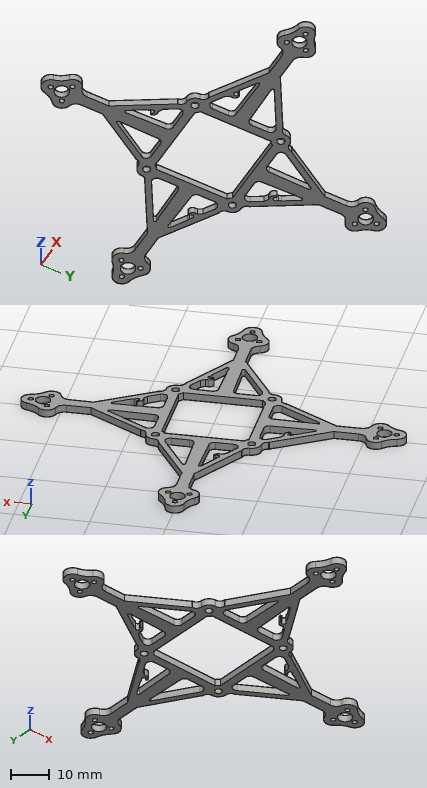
import cadquery as cq
import math

span = 101.6
thickness = 2.0

lobe_radius = 2.5
screw_circle_radius = 3.3
motor_screw_diameter = 1.3
motor_shaft_diameter = 4.0
lobe_blend_radius = 7.1
arm_blend_radius = 2.5
motor_y = span / 2 - lobe_radius - screw_circle_radius

arm_half_width = 1.6
arm_root_y = 32.0
strut_angle = math.radians(31.6)
strut_width = 1.7

frame_hole_offset = 12.7
frame_hole_diameter = 2.0
frame_boss_radius = 2.5
boss_relief_radius = 1.7
window_half_width = 11.5
frame_outer_y = 13.9

spine_root_half_width = 2.0
spine_tip_half_width = 1.7
pocket_base_round = 1.4
pocket_tip_round = 0.4

hook_notch_center = (-5.4, 21.3)
hook_notch_radius = 0.6
hook_bottom_y = 19.8
hook_bend_radius = 1.2
hook_tip_x = -4.4
hook_tip_y = 21.2
hook_tip_width = 0.4
hook_lip_y = 23.0
hook_lip_end_y = 22.1
hook_foot_y = 19.1
hook_foot_length = 1.1


def strut_edge_x(y, inset=0.0):
    """X of the right strut edge at height y, moved inwards by inset."""
    return arm_half_width + (arm_root_y - y) * math.tan(strut_angle) - inset / math.cos(strut_angle)


def point_towards(start, target, distance):
    """Point at a distance from start on the ray to target."""
    length = math.dist(start, target)
    return tuple(s + (t - s) * distance / length for s, t in zip(start, target))


def extrude(outline):
    return outline.close().extrude(thickness)


def cylinder(center, radius):
    return cq.Workplane("XY").center(*center).circle(radius).extrude(thickness)


def both_sides(body):
    """A body joined with its mirror image across the arm axis."""
    return body.union(body.mirror("YZ"))


def around(body, count=4):
    """A body joined with its copies spaced evenly about the plate centre."""
    ring = body
    for i in range(1, count):
        ring = ring.union(body.rotate((0, 0, 0), (0, 0, 1), i * 360 / count))
    return ring


motor_center = (0, motor_y)
screw_angles = [math.radians(degrees) for degrees in (90, -30, 210)]
screw_points = [
    (screw_circle_radius * math.cos(angle), motor_y + screw_circle_radius * math.sin(angle))
    for angle in screw_angles
]
boss_center = (frame_hole_offset, frame_hole_offset)
relief_center = (frame_hole_offset, frame_hole_offset + frame_boss_radius + boss_relief_radius)


def half_motor_mount():
    """Right half of a motor mount, ending in the tangent blend to the arm."""
    top, side = screw_points[:2]
    top_shoulder = point_towards(top, (span, span), lobe_radius)
    side_extreme = (side[0] + lobe_radius, side[1])

    flank_reach = math.sqrt((lobe_radius + lobe_blend_radius) ** 2 - (math.dist(top, side) / 2) ** 2)
    flank_mid = ((top[0] + side[0]) / 2, (top[1] + side[1]) / 2)
    flank_center = point_towards(motor_center, flank_mid, math.dist(motor_center, flank_mid) + flank_reach)

    blend_x = arm_half_width + arm_blend_radius
    blend_drop = math.sqrt((lobe_radius + arm_blend_radius) ** 2 - (blend_x - side[0]) ** 2)
    blend_center = (blend_x, side[1] - blend_drop)

    flank_end = point_towards(side, flank_center, lobe_radius)
    blend_start = point_towards(side, blend_center, lobe_radius)
    blend_end = (arm_half_width, blend_center[1])
    chord_mid = ((blend_start[0] + blend_end[0]) / 2, (blend_start[1] + blend_end[1]) / 2)
    return extrude(
        cq.Workplane("XY")
        .moveTo(0, span / 2)
        .threePointArc(top_shoulder, point_towards(top, flank_center, lobe_radius))
        .threePointArc(point_towards(flank_center, flank_mid, lobe_blend_radius), flank_end)
        .threePointArc(side_extreme, blend_start)
        .threePointArc(point_towards(blend_center, chord_mid, arm_blend_radius), blend_end)
        .lineTo(0, blend_end[1])
    )


def half_arm():
    """Right half of an arm and its strut, down to the scooped frame boss."""
    bay = extrude(
        cq.Workplane("XY").polyline([
            (0, motor_y - lobe_radius),
            (arm_half_width, motor_y - lobe_radius),
            (arm_half_width, arm_root_y),
            (strut_edge_x(frame_hole_offset), frame_hole_offset),
            boss_center,
            (0, 0),
        ])
    )
    web = extrude(
        cq.Workplane("XY").polyline([
            boss_center,
            relief_center,
            (relief_center[0] - boss_relief_radius, relief_center[1]),
            (relief_center[0] - boss_relief_radius, frame_hole_offset),
        ])
    )
    return bay.union(web).cut(cylinder(relief_center, boss_relief_radius))


def pocket():
    """Rounded triangular opening right of the arm spine."""
    tip_y = (arm_root_y - strut_width / math.sin(strut_angle)
             - (spine_tip_half_width - arm_half_width) / math.tan(strut_angle))
    base_end_x = strut_edge_x(frame_outer_y, strut_width)
    body = extrude(
        cq.Workplane("XY").polyline([
            (spine_tip_half_width, tip_y),
            (base_end_x, frame_outer_y),
            (spine_root_half_width, frame_outer_y),
        ])
    )
    body = body.edges("|Z and >Y").fillet(pocket_tip_round)
    return body.edges("|Z and <Y").fillet(pocket_base_round)


def wire_hook():
    """Small open hook growing from the inner edge of the left strut."""
    notch_x, notch_y = hook_notch_center
    bend_slant = hook_bend_radius * math.sin(math.radians(45))
    bend_x = hook_tip_x - hook_bend_radius
    bend_y = hook_bottom_y + hook_bend_radius
    tip_inner_x = hook_tip_x - hook_tip_width
    notch_slant = hook_notch_radius * math.sin(math.radians(45))

    lip_x = -strut_edge_x(hook_lip_y, strut_width)
    foot_x = -strut_edge_x(hook_foot_y, strut_width)
    body = extrude(
        cq.Workplane("XY")
        .moveTo(foot_x, hook_foot_y)
        .lineTo(foot_x + hook_foot_length, hook_bottom_y)
        .lineTo(bend_x, hook_bottom_y)
        .threePointArc((bend_x + bend_slant, bend_y - bend_slant), (hook_tip_x, bend_y))
        .lineTo(hook_tip_x, hook_tip_y)
        .lineTo(tip_inner_x, hook_tip_y)
        .lineTo(notch_x + notch_slant, notch_y)
        .lineTo(notch_x - notch_slant, notch_y + notch_slant)
        .lineTo(notch_x, hook_lip_end_y)
        .lineTo(lip_x, hook_lip_y)
        .lineTo(-strut_edge_x(hook_lip_y, strut_width / 2), hook_lip_y)
        .lineTo(-strut_edge_x(hook_foot_y, strut_width / 2), hook_foot_y)
    )
    return body.cut(cylinder(hook_notch_center, hook_notch_radius))


window = cq.Workplane("XY").rect(2 * window_half_width, 2 * window_half_width).extrude(thickness)
hook_pair = wire_hook().union(wire_hook().mirror("YZ").rotate((0, 0, 0), (0, 0, 1), 90))

motor_holes = cylinder(motor_center, motor_shaft_diameter / 2)
for point in screw_points:
    motor_holes = motor_holes.union(cylinder(point, motor_screw_diameter / 2))

result = around(both_sides(half_arm().union(half_motor_mount())))
result = result.cut(window).cut(around(both_sides(pocket())))
result = result.union(around(cylinder(boss_center, frame_boss_radius)))
result = result.union(around(hook_pair, 2))
result = result.cut(around(cylinder(boss_center, frame_hole_diameter / 2))).cut(around(motor_holes)).clean()